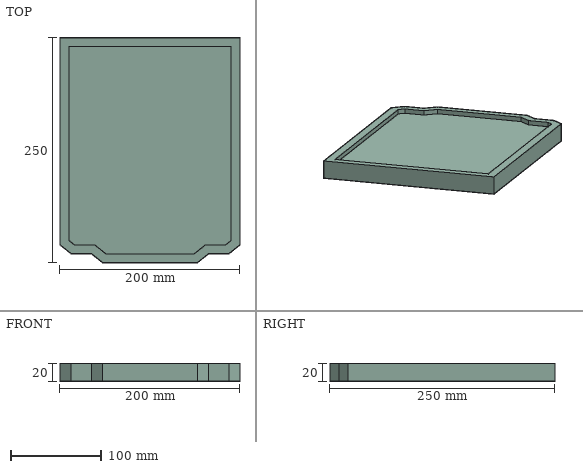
import cadquery as cq

width = 200.0
length = 250.0
height = 20.0

step_depth = 10.0
slant_width = 12.5
tab_width = 105.0

rim_width = 10.0
recess_depth = 5.0

half_width = width / 2
half_tab = tab_width / 2
back_y = length / 2
front_y = -length / 2
ledge_y = front_y + step_depth
side_end_y = ledge_y + step_depth

right_half = [
    (half_tab, front_y),
    (half_tab + slant_width, ledge_y),
    (half_width - slant_width, ledge_y),
    (half_width, side_end_y),
    (half_width, back_y),
]
left_half = [(-x, y) for x, y in reversed(right_half)]


def outline(base_z):
    """Closed outer outline of the tray at the given height."""
    return cq.Workplane("XY").workplane(offset=base_z).polyline(right_half + left_half).close()


body = outline(0).extrude(height)

recess = outline(height - recess_depth).offset2D(-rim_width, "intersection").extrude(recess_depth)

result = body.cut(recess)